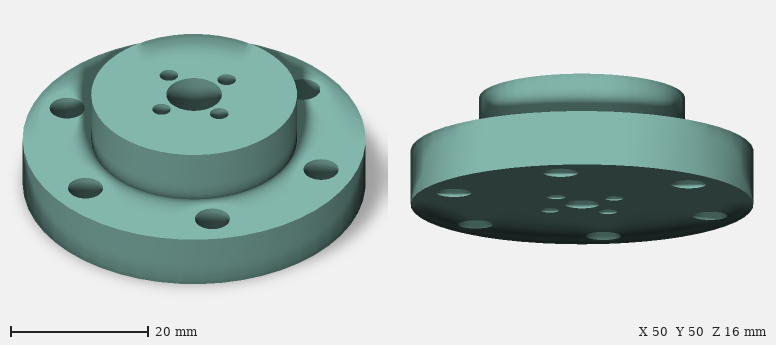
import cadquery as cq

flange_diameter = 50
flange_thickness = 8
boss_diameter = 30
boss_height = 8

bore_diameter = 5
counterbore_diameter = 8.1
counterbore_depth = boss_height

bolt_hole_diameter = 5.1
bolt_circle_diameter = 40
bolt_count = 6

small_hole_diameter = 2.7
small_circle_diameter = 12
small_hole_count = 4

first_hole_angle = 90
total_height = flange_thickness + boss_height


def cylinder(diameter, height):
    """Cylinder standing on the base plane, centred on the part axis."""
    return cq.Workplane("XY").circle(diameter / 2).extrude(height)


def hole_ring(hole_diameter, circle_diameter, count):
    """Full-height cutters equally spaced on a circle, starting on +Y."""
    return (
        cq.Workplane("XY")
        .polarArray(circle_diameter / 2, first_hole_angle, 360, count)
        .circle(hole_diameter / 2)
        .extrude(total_height)
    )


body = cylinder(flange_diameter, flange_thickness).union(cylinder(boss_diameter, total_height))

bore = cylinder(bore_diameter, total_height)
counterbore = cylinder(counterbore_diameter, counterbore_depth).translate(
    (0, 0, total_height - counterbore_depth)
)

bolt_holes = hole_ring(bolt_hole_diameter, bolt_circle_diameter, bolt_count)
small_holes = hole_ring(small_hole_diameter, small_circle_diameter, small_hole_count)

result = body.cut(bore).cut(counterbore).cut(bolt_holes).cut(small_holes)